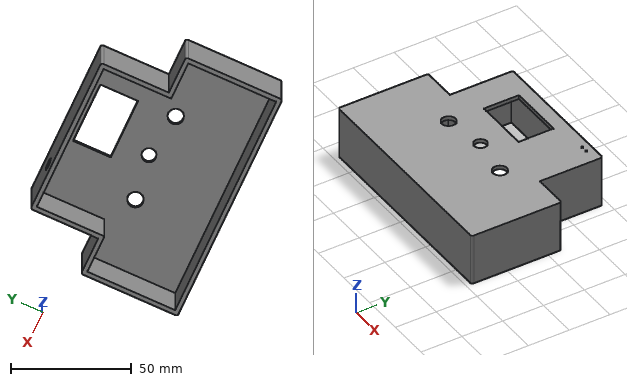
import cadquery as cq

body_width = 104.0
body_depth = 75.0
body_height = 25.0
front_depth = 44.1
rear_width = 70.1
corner_radius = 1.0
wall = 2.0
roof = 2.0

window_width = 27.0
window_depth = 17.2
window_x = -6.0
window_y = 59.6

side_hole_diameter = 6.8
side_hole_x = 20.0
side_hole_y = 34.0
middle_hole_diameter = 6.1
middle_hole_y = 37.0
pin_hole_diameter = 1.0
pin_hole_spacing = 3.1
pin_hole_x = 26.2
pin_hole_y = 71.5

cable_hole_diameter = 5.4
cable_hole_x = 17.5
cable_hole_z = 11.0


def stepped_block(inset, height):
    """T-shaped block whose side faces all lie `inset` inside the outer outline."""
    front_half = body_width / 2 - inset
    rear_half = rear_width / 2 - inset
    front_y = inset
    step_y = front_depth - inset
    rear_y = body_depth - inset
    outline = [
        (-front_half, front_y),
        (front_half, front_y),
        (front_half, step_y),
        (rear_half, step_y),
        (rear_half, rear_y),
        (-rear_half, rear_y),
        (-rear_half, step_y),
        (-front_half, step_y),
    ]
    return cq.Workplane("XY").polyline(outline).close().extrude(height)


def roof_holes(points, diameter):
    """Vertical cutters through the roof at the given points."""
    return (
        cq.Workplane("XY", origin=(0, 0, body_height - roof))
        .pushPoints(points)
        .circle(diameter / 2)
        .extrude(roof)
    )


outer = stepped_block(0, body_height)
outer = outer.edges("|Z").edges("<X or >X or >Y").fillet(corner_radius)
shell = outer.cut(stepped_block(wall, body_height - roof))

window = cq.Workplane("XY", origin=(window_x, window_y, body_height - roof)).rect(
    window_width, window_depth
).extrude(roof)
side_holes = roof_holes(
    [(-side_hole_x, side_hole_y), (side_hole_x, side_hole_y)], side_hole_diameter
)
middle_hole = roof_holes([(0, middle_hole_y)], middle_hole_diameter)
pin_holes = roof_holes(
    [(pin_hole_x + side * pin_hole_spacing / 2, pin_hole_y) for side in (-1, 1)],
    pin_hole_diameter,
)

cable_hole = (
    cq.Workplane("XZ", origin=(cable_hole_x, body_depth, cable_hole_z))
    .circle(cable_hole_diameter / 2)
    .extrude(wall)
)

result = shell.cut(window).cut(side_holes).cut(middle_hole).cut(pin_holes).cut(cable_hole)